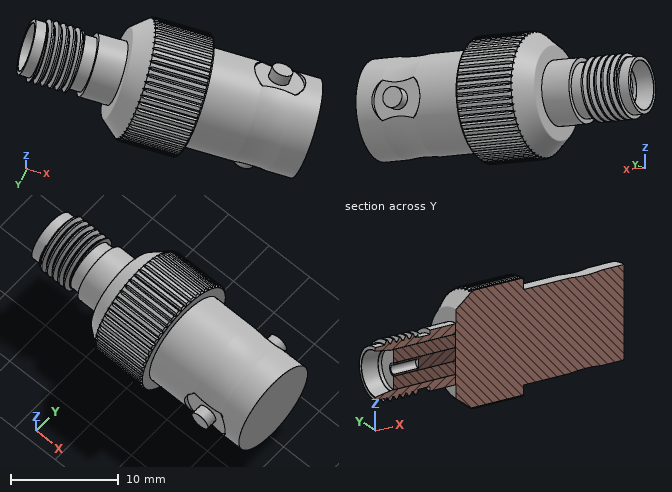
import cadquery as cq
LENGTH = 27.45

NECK_DIA = 5.4
SLEEVE_DIA = 6.2
SLEEVE_START = 6.05
RELIEF_DIA = 5.3
MOUTH_DIA = 4.7
BORE_START_DIA = 4.65
BORE_END_DIA = 4.1
MOUTH_CHAMFER = (MOUTH_DIA - BORE_START_DIA) / 2
BORE_DEPTH = 1.65
SEAT_DIA = 4.0
INSULATOR_START = 2.03

THREAD_START = 1.05
THREAD_END = 4.78
THREAD_PITCH = 0.703
THREAD_ROOT_WIDTH = 0.63
THREAD_CREST_WIDTH = 0.16
THREAD_CREST_RADIUS = SLEEVE_DIA / 2
THREAD_EMBED = 0.05
THREAD_CREST_X = 1.35

CONTACT_DIA = 1.3
CONTACT_HOLE_DIA = 0.9
CONTACT_HOLE_DEPTH = 2.75

NUT_START = 8.9
NUT_END = 16.42
NUT_DIA = 12.0
NUT_FACE_DIA = 8.98
NUT_EDGE_RADIUS = 0.16
CONE_END = 10.62
CONE_LARGE_DIA = 11.8
KNURL_START = 10.95
NUT_REAR_CHAMFER = 0.16
BARREL_DIA = 9.65

GROOVE_COUNT = 55
GROOVE_DEPTH = 0.178
GROOVE_WIDTH = 0.33
GROOVE_ROOT_RADIUS = NUT_DIA / 2 - GROOVE_DEPTH

WAIST_START = 21.55
WAIST_END = 24.95
WAIST_DEPTH = 0.124
LUG_X = (WAIST_START + WAIST_END) / 2
LUG_DIA = 2.0
LUG_TIP_Y = 5.52
SPOTFACE_DIA = 5.02
SPOTFACE_Y = 4.42


def cylinder_x(diameter, start, end):
    """Solid cylinder about the X axis."""
    return cq.Workplane("YZ").workplane(offset=start).circle(diameter / 2).extrude(end - start)


def revolve_x(profile):
    """Turn a closed X-radius profile about the X axis."""
    return profile.close().revolve(360, (0, 0, 0), (1, 0, 0))


def thread_ridge():
    """Right-hand helical ridge, cut off square at both ends of the threaded length."""
    ridge_start = THREAD_CREST_X - 2 * THREAD_PITCH
    ridge_length = THREAD_END + 2 * THREAD_PITCH - ridge_start
    inner = NECK_DIA / 2 - THREAD_EMBED
    flank_slope = (THREAD_ROOT_WIDTH - THREAD_CREST_WIDTH) / 2 / (THREAD_CREST_RADIUS - NECK_DIA / 2)
    inner_half = THREAD_ROOT_WIDTH / 2 + THREAD_EMBED * flank_slope
    crest_half = THREAD_CREST_WIDTH / 2
    helix = cq.Wire.makeHelix(THREAD_PITCH, ridge_length, inner)
    ridge = (
        cq.Workplane("XZ")
        .polyline([
            (inner, -inner_half),
            (THREAD_CREST_RADIUS, -crest_half),
            (THREAD_CREST_RADIUS, crest_half),
            (inner, inner_half),
        ])
        .close()
        .sweep(cq.Workplane(helix), isFrenet=True)
    )
    ridge = ridge.rotate((0, 0, 0), (0, 1, 0), 90).rotate((0, 0, 0), (1, 0, 0), 180)
    ridge = ridge.translate((ridge_start, 0, 0))
    return ridge.intersect(cylinder_x(2 * SLEEVE_DIA, THREAD_START, THREAD_END))


def make_plug_body():
    """Threaded tube with a tapered bore and a seat for the insulator."""
    neck = NECK_DIA / 2
    sleeve = SLEEVE_DIA / 2
    relief = RELIEF_DIA / 2
    seat = SEAT_DIA / 2
    tube = revolve_x(
        cq.Workplane("XY")
        .moveTo(0, MOUTH_DIA / 2)
        .lineTo(0, neck)
        .lineTo(THREAD_END, neck)
        .lineTo(THREAD_END, relief)
        .lineTo(SLEEVE_START, relief)
        .lineTo(SLEEVE_START, sleeve)
        .lineTo(NUT_START, sleeve)
        .lineTo(NUT_START, seat)
        .lineTo(BORE_DEPTH, seat)
        .lineTo(BORE_DEPTH, BORE_END_DIA / 2)
        .lineTo(MOUTH_CHAMFER, BORE_START_DIA / 2)
    )
    return tube.union(thread_ridge())


def make_insulator():
    """Flat-faced cylinder that fills the seat, with a hole for the contact."""
    contact_hole = cylinder_x(CONTACT_DIA, INSULATOR_START, NUT_START)
    return cylinder_x(SEAT_DIA, INSULATOR_START, NUT_START).cut(contact_hole)


def make_contact():
    """Centre contact, flush with the insulator, with a blind socket hole."""
    socket = cylinder_x(CONTACT_HOLE_DIA, INSULATOR_START, INSULATOR_START + CONTACT_HOLE_DEPTH)
    return cylinder_x(CONTACT_DIA, INSULATOR_START, NUT_START).cut(socket)


def knurl_grooves():
    """V grooves along X, spaced evenly with a land centred on +Z."""
    step = 360 / GROOVE_COUNT
    clearance = GROOVE_DEPTH
    top_radius = NUT_DIA / 2 + clearance
    half_width = GROOVE_WIDTH / 2 * (GROOVE_DEPTH + clearance) / GROOVE_DEPTH
    cutter = (
        cq.Workplane("YZ")
        .workplane(offset=NUT_START)
        .polyline([(0, GROOVE_ROOT_RADIUS), (half_width, top_radius), (-half_width, top_radius)])
        .close()
        .extrude(NUT_END - NUT_START)
        .val()
    )
    return [
        cutter.rotate(cq.Vector(0, 0, 0), cq.Vector(1, 0, 0), (index + 0.5) * step)
        for index in range(GROOVE_COUNT)
    ]


def make_barrel():
    """Knurled nut and bayonet barrel with a shallow waist and two lugs on flat spotfaces."""
    nut = NUT_DIA / 2
    barrel_radius = BARREL_DIA / 2
    body = revolve_x(
        cq.Workplane("XY")
        .moveTo(NUT_START, 0)
        .lineTo(NUT_START, NUT_FACE_DIA / 2)
        .lineTo(CONE_END, CONE_LARGE_DIA / 2)
        .lineTo(KNURL_START, nut)
        .lineTo(NUT_END - NUT_REAR_CHAMFER, nut)
        .lineTo(NUT_END, nut - NUT_REAR_CHAMFER)
        .lineTo(NUT_END, barrel_radius)
        .lineTo(WAIST_START, barrel_radius)
        .threePointArc((LUG_X, barrel_radius - WAIST_DEPTH), (WAIST_END, barrel_radius))
        .lineTo(LENGTH, barrel_radius)
        .lineTo(LENGTH, 0)
    )
    front_edge = cq.selectors.BoxSelector(
        (NUT_START - NUT_EDGE_RADIUS, -nut, -nut),
        (NUT_START + NUT_EDGE_RADIUS, nut, nut),
        boundingbox=True,
    )
    body = body.edges(front_edge).fillet(NUT_EDGE_RADIUS)
    body = cq.Workplane(body.val().cut(*knurl_grooves()))
    for side in (-1, 1):
        spotface = (
            cq.Workplane("XZ", origin=(LUG_X, side * SPOTFACE_Y, 0))
            .circle(SPOTFACE_DIA / 2)
            .extrude(-side * barrel_radius)
        )
        lug = (
            cq.Workplane("XZ", origin=(LUG_X, 0, 0))
            .circle(LUG_DIA / 2)
            .extrude(-side * LUG_TIP_Y)
        )
        body = body.cut(spotface).union(lug)
    return body


plug_body = make_plug_body()
insulator = make_insulator()
contact = make_contact()
barrel = make_barrel()

result = cq.Compound.makeCompound([
    plug_body.val(),
    insulator.val(),
    contact.val(),
    barrel.val(),
])